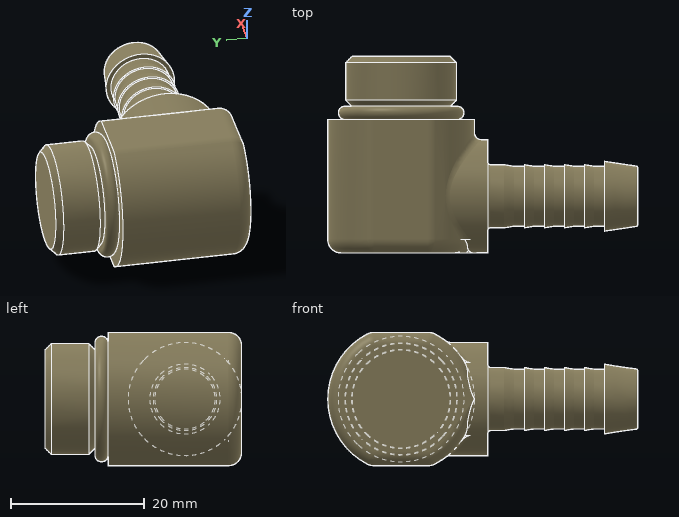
import math

import cadquery as cq

body_diameter = 22.0
body_length = 20.0
flat_spacing = 20.0
body_edge_radius = 2.0

collar_diameter = 17.0
collar_face_x = 13.0
collar_root_radius = 1.0
body_front_y = -collar_diameter / 2
body_back_y = body_front_y + body_length
rim_start_y = body_front_y + body_edge_radius
runout_start_depth = 0.01

spigot_diameter = 16.66
undercut_diameter = 14.85
undercut_width = 2.0
spigot_length = 7.5
spigot_end_chamfer = 1.0

stem_length = 22.46
stem_root_diameter = 9.0
ridge_diameter = 9.5
ridge_count = 5
ridge_pitch = 3.0
ridge_taper_length = 1.5
stem_root_fillet = 0.4
barb_diameter = 10.5
barb_length = 5.0
barb_tip_diameter = 9.0
barb_tip_fillet = 0.3


def arc_inset(radius):
    """Distance from either tangent line of a quarter round to the middle of its arc."""
    return radius * (1 - math.sqrt(0.5))


def make_block(front_y):
    """Round block with two flats and rounded long edges, reaching from front_y to the back face."""
    length = body_back_y - front_y
    block = cq.Workplane("XZ", origin=(0, body_back_y, 0)).circle(body_diameter / 2).extrude(length)
    oversize = 4 * length
    slab = cq.Workplane("XY").box(oversize, oversize, flat_spacing)
    block = block.intersect(slab)
    return block.edges("|Y").edges(">Z or <Z").fillet(body_edge_radius)


def make_collar():
    return cq.Workplane("YZ").circle(collar_diameter / 2).extrude(collar_face_x)


def make_collar_blend():
    """Block and collar with a fillet round their seam, cut off where the rim rounding starts."""
    long_block = make_block(body_front_y - body_length)
    joined = long_block.union(make_collar())
    blended = joined.edges(cq.selectors.TypeSelector("BSPLINE")).fillet(collar_root_radius)
    oversize = 4 * body_diameter
    kept_region = cq.Workplane("XZ", origin=(0, body_back_y, 0)).rect(oversize, oversize)
    return blended.intersect(kept_region.extrude(body_back_y - rim_start_y))


def make_rim_runout(side):
    """Tapered run-out of the rounded rim, from where the collar meets the rim to the collar's lowest line."""
    body_radius = body_diameter / 2
    start_radius = body_radius - runout_start_depth
    collar_half_width = math.sqrt(body_edge_radius * (collar_diameter - body_edge_radius))
    meeting_angle = math.asin(collar_half_width / body_radius)
    across = cq.Vector(math.cos(meeting_angle), 0, side * math.sin(meeting_angle))
    normal = across.cross(cq.Vector(0, 1, 0))
    section_plane = cq.Plane(origin=(0, body_front_y, 0), xDir=across, normal=normal)
    rim_inset = arc_inset(body_edge_radius)
    section = (
        cq.Workplane(section_plane)
        .lineTo(start_radius - body_edge_radius, 0)
        .threePointArc((start_radius - rim_inset, rim_inset), (start_radius, body_edge_radius))
        .lineTo(0, body_edge_radius)
        .close()
    )
    tip = cq.Vertex.makeVertex(body_radius, body_front_y, 0)
    return cq.Workplane(cq.occ_impl.shapes.loft(section.val(), tip, cap=True, ruled=True))


def make_body():
    """Elbow body with its rounded rim, the collar and the blend between them."""
    body = make_block(body_front_y).faces("<Y").edges().fillet(body_edge_radius)
    body = body.union(make_collar()).union(make_collar_blend())
    for side in (1, -1):
        body = body.union(make_rim_runout(side))
    return body


def make_spigot():
    """Undercut neck and chamfered cylinder, revolved about the body axis."""
    neck_radius = undercut_diameter / 2
    outer_radius = spigot_diameter / 2
    neck_end_y = body_back_y + undercut_width
    end_y = neck_end_y + spigot_length
    neck_chamfer = outer_radius - neck_radius
    profile = (
        cq.Workplane("XY")
        .moveTo(0, body_back_y)
        .lineTo(neck_radius, body_back_y)
        .lineTo(neck_radius, neck_end_y)
        .lineTo(outer_radius, neck_end_y + neck_chamfer)
        .lineTo(outer_radius, end_y - spigot_end_chamfer)
        .lineTo(outer_radius - spigot_end_chamfer, end_y)
        .lineTo(0, end_y)
        .close()
    )
    return profile.revolve(360, (0, 0), (0, 1))


def make_seal_ring():
    """Sealing ring filling the undercut, with a half-round outer side."""
    section_radius = undercut_width / 2
    crown_radius = undercut_diameter / 2 + section_radius
    undercut_end_y = body_back_y + undercut_width
    section = (
        cq.Workplane("XY")
        .moveTo(0, body_back_y)
        .lineTo(crown_radius, body_back_y)
        .threePointArc(
            (crown_radius + section_radius, body_back_y + section_radius),
            (crown_radius, undercut_end_y),
        )
        .lineTo(0, undercut_end_y)
        .close()
    )
    return section.revolve(360, (0, 0), (0, 1))


def make_stem():
    """Ridged stem ending in a barb, revolved about the X axis."""
    root_radius = stem_root_diameter / 2
    ridge_radius = ridge_diameter / 2
    tip_x = collar_face_x + stem_length
    barb_x = tip_x - barb_length
    first_taper_x = barb_x - ridge_count * ridge_pitch

    fillet_inset = arc_inset(stem_root_fillet)
    profile = (
        cq.Workplane("XY")
        .moveTo(collar_face_x, 0)
        .lineTo(collar_face_x, ridge_radius + stem_root_fillet)
        .threePointArc(
            (collar_face_x + fillet_inset, ridge_radius + fillet_inset),
            (collar_face_x + stem_root_fillet, ridge_radius),
        )
    )
    profile = profile.lineTo(first_taper_x, ridge_radius)
    for index in range(ridge_count):
        is_last_ridge = index == ridge_count - 1
        next_crest_radius = barb_diameter / 2 if is_last_ridge else ridge_radius
        taper_x = first_taper_x + index * ridge_pitch
        profile = (
            profile.lineTo(taper_x + ridge_taper_length, root_radius)
            .lineTo(taper_x + ridge_pitch, root_radius)
            .lineTo(taper_x + ridge_pitch, next_crest_radius)
        )
    profile = profile.lineTo(tip_x, barb_tip_diameter / 2).lineTo(tip_x, 0)
    stem = profile.close().revolve(360, (0, 0), (1, 0))
    return stem.faces(">X").edges().fillet(barb_tip_fillet)


result = make_body().union(make_spigot()).union(make_seal_ring()).union(make_stem())